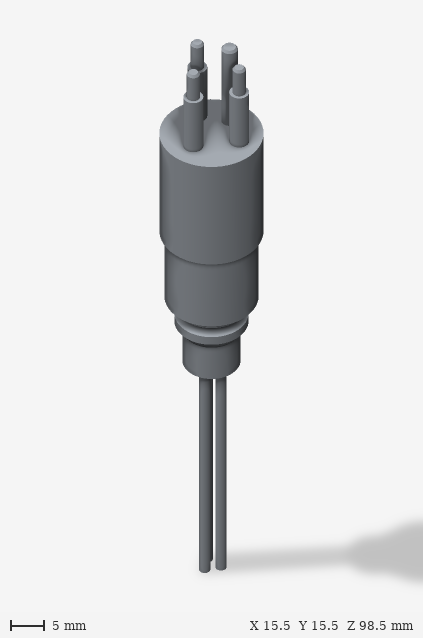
import cadquery as cq

TOTAL_HEIGHT = 98.5
SLEEVE_TOP = 93.7
BODY_TOP = 84.1
HEAD_BOTTOM = 65.1
SHOULDER_BOTTOM = 52.4
GROOVE_TOP = 50.8
GROOVE_BOTTOM = 49.1
COLLAR_BOTTOM = 47.6
TAPER_BOTTOM = 46.0
NECK_BOTTOM = 39.9

HEAD_RADIUS = 15.5 / 2
SHOULDER_RADIUS = 14.0 / 2
COLLAR_RADIUS = 11.0 / 2
NECK_RADIUS = 8.7 / 2
GROOVE_DEPTH = 0.6

CONTACT_DIAMETER = 2.0
SLEEVE_DIAMETER = 3.0
GUIDE_DIAMETER = 2.5
TIP_CHAMFER_HEIGHT = 0.4
TIP_CHAMFER_WIDTH = 0.3
SIDE_PIN_X = 4.2
SIDE_PIN_Y = 1.5
CENTER_PIN_Y = 3.9
CONTACT_POSITIONS = [(-SIDE_PIN_X, SIDE_PIN_Y), (SIDE_PIN_X, SIDE_PIN_Y), (0, -CENTER_PIN_Y)]
GUIDE_POSITIONS = [(0, CENTER_PIN_Y)]

WIRE_DIAMETER = 1.7
SIDE_WIRE_X = 1.4
SIDE_WIRE_Y = 0.6
CENTER_WIRE_Y = -1.5
WIRE_POSITIONS = [(-SIDE_WIRE_X, SIDE_WIRE_Y), (SIDE_WIRE_X, SIDE_WIRE_Y), (0, CENTER_WIRE_Y)]


def rods(positions, diameter, bottom, top):
    """Parallel vertical rods between two heights."""
    return (
        cq.Workplane("XY", origin=(0, 0, bottom))
        .pushPoints(positions)
        .circle(diameter / 2)
        .extrude(top - bottom)
    )


def pointed_rods(positions, diameter):
    """Rods standing on the body, with a chamfered tip."""
    pins = rods(positions, diameter, BODY_TOP, TOTAL_HEIGHT)
    return pins.faces(">Z").edges().chamfer(TIP_CHAMFER_HEIGHT, TIP_CHAMFER_WIDTH)


def stepped_body():
    """Turned body with a round-bottomed ring groove and a tapered collar."""
    groove_middle = (GROOVE_TOP + GROOVE_BOTTOM) / 2
    return (
        cq.Workplane("XZ")
        .moveTo(0, NECK_BOTTOM)
        .lineTo(NECK_RADIUS, NECK_BOTTOM)
        .lineTo(NECK_RADIUS, TAPER_BOTTOM)
        .lineTo(COLLAR_RADIUS, COLLAR_BOTTOM)
        .lineTo(COLLAR_RADIUS, GROOVE_BOTTOM)
        .threePointArc((COLLAR_RADIUS - GROOVE_DEPTH, groove_middle), (COLLAR_RADIUS, GROOVE_TOP))
        .lineTo(COLLAR_RADIUS, SHOULDER_BOTTOM)
        .lineTo(SHOULDER_RADIUS, SHOULDER_BOTTOM)
        .lineTo(SHOULDER_RADIUS, HEAD_BOTTOM)
        .lineTo(HEAD_RADIUS, HEAD_BOTTOM)
        .lineTo(HEAD_RADIUS, BODY_TOP)
        .lineTo(0, BODY_TOP)
        .close()
        .revolve(360, (0, 0, 0), (0, 1, 0))
    )


result = (
    stepped_body()
    .union(rods(CONTACT_POSITIONS, SLEEVE_DIAMETER, BODY_TOP, SLEEVE_TOP))
    .union(pointed_rods(CONTACT_POSITIONS, CONTACT_DIAMETER))
    .union(pointed_rods(GUIDE_POSITIONS, GUIDE_DIAMETER))
    .union(rods(WIRE_POSITIONS, WIRE_DIAMETER, 0, NECK_BOTTOM))
)